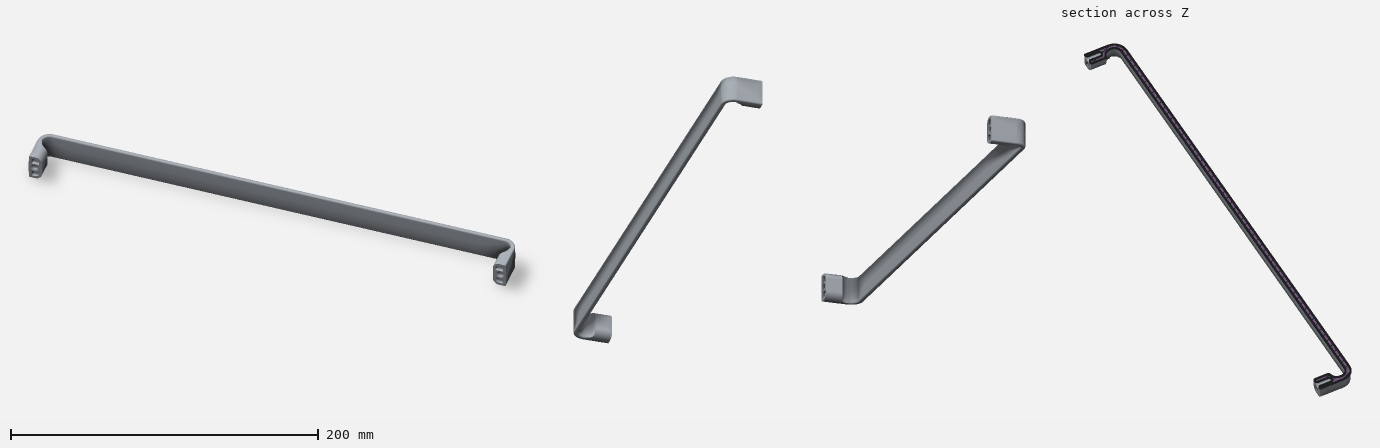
import cadquery as cq

length = 328.0
projection = 25.84
width = 18.0
half_length = length / 2
half_width = width / 2

wall = 3.5
outer_crown = 0.12
inner_crown = 0.45
edge_fillet = 1.0
outer_edge = wall / 2 - outer_crown
inner_edge = inner_crown - wall / 2

outer_bend_radius = 8.5
middle_bend_radius = outer_bend_radius - wall / 2
bend_start_x = half_length - outer_bend_radius
bend_start_y = projection - outer_bend_radius
leg_middle_x = half_length - wall / 2
bar_middle_y = projection - wall / 2

foot_depth = 9.0
foot_corner_radius = 4.5
flare_radius = foot_depth - wall
flare_straight = 0.6
flare_start_y = bend_start_y - flare_straight
foot_inner_x = half_length - foot_depth

hole_radius = 1.75
countersink_radius = 2.6
countersink_depth = countersink_radius - hole_radius
hole_depth = 9.5
drill_point_height = 1.0
hole_spacing = 320.0
hole_x = hole_spacing / 2

hollow_wall = 1.8
hollow_outer_wall = 2.1
hollow_taper = 3.0
hollow_inner_z = 3.2
hollow_corner_radius = foot_corner_radius - hollow_wall
hollow_outer_z = half_width - hollow_wall
hollow_inner_x = foot_inner_x + hollow_wall
hollow_outer_x = half_length - hollow_outer_wall


def make_strip_section():
    """Section of the strip: local x is thickness, outwards; local y is width."""
    return (
        cq.Sketch()
        .segment((inner_edge, -half_width), (outer_edge, -half_width))
        .arc((outer_edge, -half_width), (wall / 2, 0), (outer_edge, half_width))
        .segment((outer_edge, half_width), (inner_edge, half_width))
        .arc((inner_edge, half_width), (-wall / 2, 0), (inner_edge, -half_width))
        .assemble()
        .vertices()
        .fillet(edge_fillet)
    )


def make_strip():
    """Crowned strip swept up one leg, along the grip bar and down the other leg."""
    path = (
        cq.Workplane("XY")
        .moveTo(leg_middle_x, 0)
        .lineTo(leg_middle_x, bend_start_y)
        .radiusArc((bend_start_x, bar_middle_y), -middle_bend_radius)
        .lineTo(-bend_start_x, bar_middle_y)
        .radiusArc((-leg_middle_x, bend_start_y), -middle_bend_radius)
        .lineTo(-leg_middle_x, 0)
    )
    start = cq.Plane(origin=(leg_middle_x, 0, 0), xDir=(1, 0, 0), normal=(0, 1, 0))
    return cq.Workplane(start).placeSketch(make_strip_section()).sweep(path)


def make_foot_block():
    """Thickening of the right leg, with rounded corners and a concave flare on top."""
    block = (
        cq.Workplane("XY")
        .moveTo(foot_inner_x, 0)
        .lineTo(leg_middle_x, 0)
        .lineTo(leg_middle_x, flare_start_y)
        .lineTo(foot_inner_x, flare_start_y)
        .close()
        .extrude(half_width, both=True)
        .edges("|Y and <X")
        .fillet(foot_corner_radius)
    )
    flare = (
        cq.Workplane("XY")
        .center(foot_inner_x, flare_start_y)
        .circle(flare_radius)
        .extrude(half_width, both=True)
    )
    return block.cut(flare)


def make_screw_hole():
    """Cutter for the screw hole of the right foot."""
    return (
        cq.Workplane("XY")
        .lineTo(countersink_radius, 0)
        .lineTo(hole_radius, countersink_depth)
        .lineTo(hole_radius, hole_depth)
        .lineTo(0, hole_depth + drill_point_height)
        .close()
        .revolve(360, (0, 0), (0, 1))
        .translate((hole_x, 0, 0))
    )


def make_hollow():
    """Cutter for the upper hollow of the right foot; its end follows the flare."""
    mouth = cq.Plane(origin=(0, 0, 0), xDir=(1, 0, 0), normal=(0, 1, 0))
    hollow_middle_x = (hollow_inner_x + hollow_outer_x) / 2
    hollow_middle_z = (hollow_inner_z + hollow_outer_z) / 2
    hollow_size_x = hollow_outer_x - hollow_inner_x
    hollow_size_z = hollow_outer_z - hollow_inner_z
    block = (
        cq.Workplane(mouth)
        .center(hollow_middle_x, -hollow_middle_z)
        .sketch()
        .rect(hollow_size_x, hollow_size_z)
        .vertices("<X and <Y")
        .fillet(hollow_corner_radius)
        .finalize()
        .extrude(flare_start_y, taper=hollow_taper)
    )
    flare_wall = (
        cq.Workplane("XY")
        .center(foot_inner_x, flare_start_y)
        .circle(flare_radius + hollow_wall)
        .extrude(half_width)
    )
    return block.cut(flare_wall)


def make_foot_cutters():
    """Screw hole and both hollows of the right foot."""
    hollow = make_hollow()
    return make_screw_hole().union(hollow).union(hollow.mirror("XY"))


foot_block = make_foot_block()
foot_cutters = make_foot_cutters()
bow = make_strip().union(foot_block).union(foot_block.mirror("YZ"))
result = bow.cut(foot_cutters).cut(foot_cutters.mirror("YZ"))